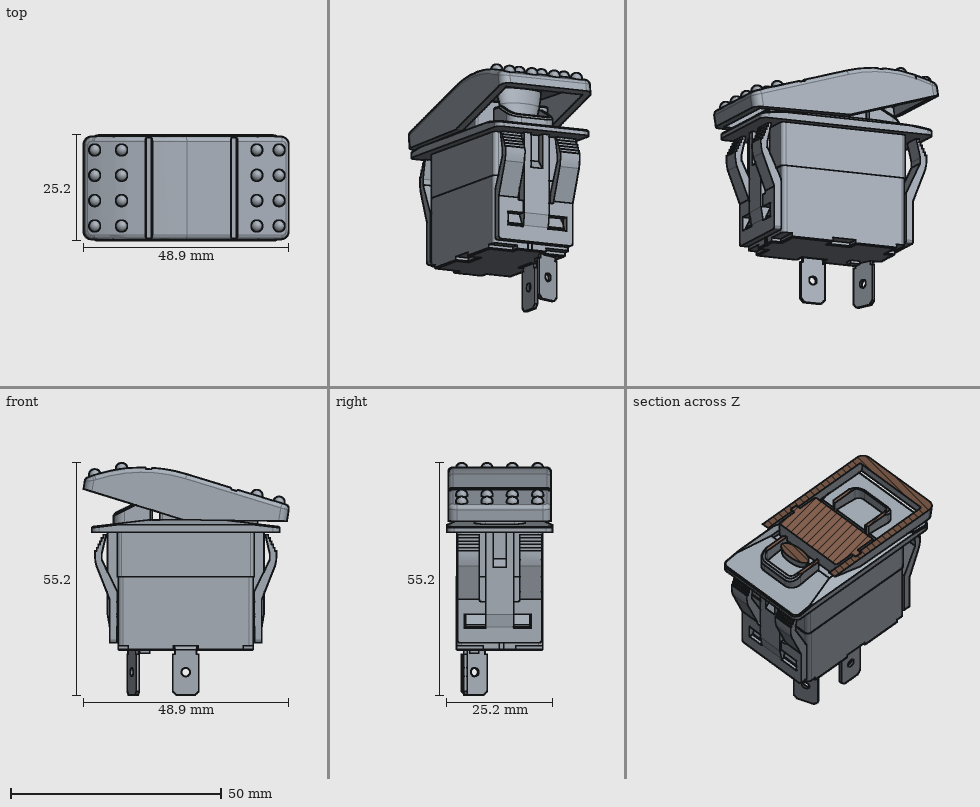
import cadquery as cq
import math


BEZEL_LENGTH = 44.7
BEZEL_WIDTH = 25.15
BEZEL_CORNER_RADIUS = 1.65
BEZEL_END_HEIGHT = 1.3
BEZEL_SIDE_HEIGHT = 1.75
BEZEL_TOP = 3.0
BEZEL_OPENING_LENGTH = 17.1
BEZEL_OPENING_WIDTH = 19.65
BEZEL_RIM_CHAMFER = 0.3
BEZEL_OPENING_FLOOR = 1.75

UPPER_WIDTH = 20.4
LOWER_WIDTH = 20.55
UPPER_LENGTH = 32.55
UPPER_CORNER_RADIUS = 1.0
LOWER_LENGTH = 32.1
LOWER_CORNER_RADIUS = 1.1
SEAM_Z = -10.6
BODY_BOTTOM = -28.05
BOTTOM_CHAMFER = 0.3

RIB_WIDTH = 6.7
RIB_EMBEDMENT = 0.35
RIB_FACE_X = 18.6
RIB_TAPER_TOP = -19.4
RIB_BOTTOM = -22.4
RIB_SLOT_WIDTH = 3.1
RIB_SLOT_DEPTH = 2.0
RIB_SLOT_FLOOR_TOP = -6.3
RIB_SLOT_BOTTOM = -8.35
PLATE_INNER_X = 16.3
PLATE_OUTER_X = 18.1
PLATE_WIDTH = 20.0
PLATE_TOP = -16.45
PLATE_BOTTOM = -26.25
PLATE_CORNER_RADIUS = 0.7
ARM_WIDTH = 5.2
ARM_ROOT_FILLET = 0.4
ARM_TIP_X = 19.65
ARM_TIP_INNER_X = 18.9
ARM_TOP = -0.55
ARM_BEND_BOTTOM = -7.95
ARM_ROOT_OUTER = -15.9
ARM_ROOT_INNER = -14.1
ARM_KNEE_INNER_X = 19.9
ARM_KNEE_INNER_TOP = -5.1
ARM_KNEE_INNER_BOTTOM = -6.5
SERRATION_COUNT = 5
SERRATION_HEIGHT = 0.8
SERRATION_STEP = 0.4
ARM_BEND_X = ARM_TIP_X + SERRATION_COUNT * SERRATION_STEP
ARM_BEND_DROP_X = 0.35
LEFT_WINDOW_Y = 7.5
RIGHT_WINDOW_Y = -8.4
WINDOW_TOP = -19.4
WINDOW_BOTTOM = -22.75
LUG_CLEARANCE = 0.4
LUG_LIP_TOP = -22.0
LUG_BOTTOM = -22.4
LUG_DEPTH = 1.3

NOTCH_HEIGHT = 1.05
CORNER_NOTCH_LENGTH = 2.45
CORNER_NOTCH_INNER_Y = 3.85
SIDE_NOTCH_LENGTH = 5.85
SIDE_NOTCH_DEPTH = 3.3
KEY_GROOVE_WIDTH = 1.05
KEY_GROOVE_DEPTH = 0.15
KEY_GROOVE_Y = 0.45

BLADE_WIDTH = 6.3
BLADE_THICKNESS = 0.8
BLADE_SHOULDER_Z = -28.9
BLADE_BOTTOM = -38.7
BLADE_BEND_Z = -27.85
BLADE_NECK_WIDTH = 5.2
BLADE_CHAMFER = 0.95
BLADE_HOLE_DIAMETER = 2.0
BLADE_HOLE_Z = -33.2
SIDE_BLADE_Y = -8.1
END_BLADE_X = -12.5
END_BLADE_Y = -6.0
END_BLADE_TURN = 20.5
FOOT_LENGTH = 2.45
FOOT_WIDTH = 2.2
FOOT_HEIGHT = 0.7
FOOT_X = -9.7

TOWER_LENGTH = 12.35
TOWER_WIDTH = 19.55
TOWER_TOP = 9.65
TOWER_EDGE = 0.55
PIVOT_Z = 6.55
PIN_DIAMETER = 2.8
PIN_ENGAGEMENT = 0.85
GUARD_OUTER_X = 17.15
GUARD_INNER_X = 7.95
GUARD_WIDTH = 12.15
GUARD_WALL = 1.0
GUARD_CORNER_RADIUS = 2.6
GUARD_LOW_TOP = 4.35
GUARD_HIGH_TOP = 7.55
GUARD_SLOPE = 0.5
GUARD_EDGE_CHAMFER = 0.45

ROCKER_TILT = 9.0
ROCKER_SHIFT_X = -0.1
ROCKER_LENGTH = 49.0
ROCKER_WIDTH = 24.5
ROCKER_CORNER_RADIUS = 2.05
ROCKER_TOP_FILLET = 1.1
ROCKER_END_BOTTOM = -0.14
ROCKER_APEX_Z = -3.65
CROWN_X = -0.85
CROWN_Z = 7.25
ROCKER_RIGHT_TOP = 3.65
CROWN_RADIUS = 36.05
ROCKER_WALL = 2.0
ROCKER_ROOF = 1.65
GROOVE_WIDTH = 2.3
GROOVE_FLOOR_WIDTH = 1.2
GROOVE_DEPTH = 0.36
LEFT_GROOVE_X = -9.95
RIGHT_GROOVE_X = 10.95
DOME_DIAMETER = 2.8
DOME_PITCH_Y = 6.0
DOMES_PER_ROW = 4
DOME_ROWS_X = (-22.35, -16.3, 16.45, 21.9)
POST_X = -9.95
POST_TOP = 4.15
POST_BOTTOM = -4.4
POST_WAIST_Z = 0.0
POST_TOP_RADII = (2.45, 6.05)
POST_WAIST_RADII = (2.15, 5.25)
POST_BOTTOM_RADII = (1.65, 3.75)


def box(x_min, x_max, y_min, y_max, z_min, z_max):
    """Axis-aligned block between two opposite corners."""
    size = (x_max - x_min, y_max - y_min, z_max - z_min)
    return cq.Workplane("XY").box(*size, centered=False).translate((x_min, y_min, z_min))


def side_profile(points, y_min, y_max):
    """Closed XZ polygon extruded from y_min to y_max."""
    plate = cq.Workplane("XZ").polyline(points).close().extrude(y_min - y_max)
    return plate.translate((0, y_min, 0))


def both_ends(shape):
    """The shape at +X together with its mirror image at -X."""
    return shape.union(shape.mirror("YZ"))


def make_bezel():
    """Flange whose top slopes down to all four edges from a central opening."""
    half_length = BEZEL_LENGTH / 2
    half_width = BEZEL_WIDTH / 2
    flange = (
        cq.Workplane("XY")
        .rect(BEZEL_LENGTH, BEZEL_WIDTH)
        .extrude(BEZEL_TOP)
        .edges("|Z")
        .fillet(BEZEL_CORNER_RADIUS)
    )
    lengthwise = side_profile(
        [
            (-half_length, 0),
            (half_length, 0),
            (half_length, BEZEL_END_HEIGHT),
            (BEZEL_OPENING_LENGTH / 2, BEZEL_TOP),
            (-BEZEL_OPENING_LENGTH / 2, BEZEL_TOP),
            (-half_length, BEZEL_END_HEIGHT),
        ],
        -half_width,
        half_width,
    )
    crosswise = (
        cq.Workplane("YZ")
        .polyline(
            [
                (-half_width, 0),
                (half_width, 0),
                (half_width, BEZEL_SIDE_HEIGHT),
                (BEZEL_OPENING_WIDTH / 2, BEZEL_TOP),
                (-BEZEL_OPENING_WIDTH / 2, BEZEL_TOP),
                (-half_width, BEZEL_SIDE_HEIGHT),
            ]
        )
        .close()
        .extrude(half_length, both=True)
    )
    bezel = flange.intersect(lengthwise).intersect(crosswise)
    bezel = bezel.faces("<X or >X").edges(">Z").chamfer(BEZEL_RIM_CHAMFER)
    opening = (
        cq.Workplane("XY", origin=(0, 0, BEZEL_OPENING_FLOOR))
        .rect(BEZEL_OPENING_LENGTH, BEZEL_OPENING_WIDTH)
        .extrude(BEZEL_TOP - BEZEL_OPENING_FLOOR)
    )
    return bezel.cut(opening)


def make_body():
    """Upper and lower body blocks, the lower one slightly shorter, notched and chamfered underneath."""
    upper = (
        cq.Workplane("XY")
        .rect(UPPER_LENGTH, UPPER_WIDTH)
        .extrude(SEAM_Z)
        .edges("|Z")
        .fillet(UPPER_CORNER_RADIUS)
    )
    lower = (
        cq.Workplane("XY", origin=(0, 0, SEAM_Z))
        .rect(LOWER_LENGTH, LOWER_WIDTH)
        .extrude(BODY_BOTTOM - SEAM_Z)
        .edges("|Z")
        .fillet(LOWER_CORNER_RADIUS)
        .cut(make_bottom_notches())
        .faces("<Z")
        .chamfer(BOTTOM_CHAMFER)
    )
    return upper.union(lower)


def make_bottom_notches():
    """Cutters for the four corner notches, the two terminal notches and the end key grooves."""
    end_x = LOWER_LENGTH / 2
    side_y = LOWER_WIDTH / 2
    notch_top = BODY_BOTTOM + NOTCH_HEIGHT
    half_notch = SIDE_NOTCH_LENGTH / 2
    corner = box(end_x - CORNER_NOTCH_LENGTH, end_x, CORNER_NOTCH_INNER_Y, side_y, BODY_BOTTOM, notch_top)
    side = box(-half_notch, half_notch, side_y - SIDE_NOTCH_DEPTH, side_y, BODY_BOTTOM, notch_top)
    groove = box(
        end_x - KEY_GROOVE_DEPTH,
        end_x,
        KEY_GROOVE_Y - KEY_GROOVE_WIDTH / 2,
        KEY_GROOVE_Y + KEY_GROOVE_WIDTH / 2,
        BODY_BOTTOM,
        RIB_BOTTOM,
    )
    quarter = both_ends(corner).union(side)
    return quarter.union(quarter.mirror("XZ")).union(both_ends(groove))


def make_end_rib():
    """Central rib on the +X end, tapered at its foot, with a ramp-bottomed slot under the bezel."""
    root_x = LOWER_LENGTH / 2 - RIB_EMBEDMENT
    rib = side_profile(
        [
            (root_x, 0),
            (RIB_FACE_X, 0),
            (RIB_FACE_X, RIB_TAPER_TOP),
            (PLATE_OUTER_X, RIB_BOTTOM),
            (root_x, RIB_BOTTOM),
        ],
        -RIB_WIDTH / 2,
        RIB_WIDTH / 2,
    )
    slot_floor_x = RIB_FACE_X - RIB_SLOT_DEPTH
    slot = side_profile(
        [
            (RIB_FACE_X, 0),
            (RIB_FACE_X, RIB_SLOT_BOTTOM),
            (slot_floor_x, RIB_SLOT_FLOOR_TOP),
            (slot_floor_x, 0),
        ],
        -RIB_SLOT_WIDTH / 2,
        RIB_SLOT_WIDTH / 2,
    )
    return rib.cut(slot)


def make_spring_arm():
    """Bent arm at +X, +Y with a serrated tip, rising from the end plate."""
    y_max = PLATE_WIDTH / 2
    serrations = []
    for step in range(SERRATION_COUNT):
        x = ARM_TIP_X + step * SERRATION_STEP
        z = ARM_TOP - (step + 1) * SERRATION_HEIGHT
        serrations += [(x, z), (x + SERRATION_STEP, z)]
    bend_top = ARM_TOP - SERRATION_COUNT * SERRATION_HEIGHT
    bend_middle_z = (bend_top + ARM_BEND_BOTTOM) / 2
    outline = cq.Workplane("XZ").moveTo(ARM_TIP_INNER_X, ARM_TOP).lineTo(ARM_TIP_X, ARM_TOP)
    for point in serrations:
        outline = outline.lineTo(*point)
    return (
        outline.threePointArc((ARM_BEND_X, bend_middle_z), (ARM_BEND_X - ARM_BEND_DROP_X, ARM_BEND_BOTTOM))
        .lineTo(PLATE_OUTER_X, ARM_ROOT_OUTER)
        .lineTo(PLATE_OUTER_X, PLATE_TOP)
        .lineTo(PLATE_INNER_X, PLATE_TOP)
        .lineTo(PLATE_INNER_X, ARM_ROOT_INNER)
        .lineTo(ARM_KNEE_INNER_X, ARM_KNEE_INNER_BOTTOM)
        .lineTo(ARM_KNEE_INNER_X, ARM_KNEE_INNER_TOP)
        .close()
        .extrude(ARM_WIDTH)
        .translate((0, y_max, 0))
    )


def make_window(outer_y):
    """Window cutter for the +X plate, from the rib's side out to outer_y."""
    inner_y = math.copysign(RIB_WIDTH / 2, outer_y)
    y_min, y_max = sorted((inner_y, outer_y))
    return box(PLATE_INNER_X, PLATE_OUTER_X, y_min, y_max, WINDOW_BOTTOM, WINDOW_TOP)


def make_lug(outer_y):
    """Wedge on the +X end of the body that stands in the window reaching out to outer_y."""
    root_x = LOWER_LENGTH / 2
    inner_y = math.copysign(RIB_WIDTH / 2, outer_y)
    lug_y = outer_y - math.copysign(LUG_CLEARANCE, outer_y)
    points = [(root_x, WINDOW_TOP), (root_x + LUG_DEPTH, LUG_LIP_TOP), (root_x + LUG_DEPTH, LUG_BOTTOM)]
    points.append((root_x, LUG_BOTTOM))
    return side_profile(points, *sorted((inner_y, lug_y)))


def make_end_clip():
    """Plate on the +X end with two windows, two snap lugs standing in them and two spring arms."""
    half_width = PLATE_WIDTH / 2
    clip = (
        box(PLATE_INNER_X, PLATE_OUTER_X, -half_width, half_width, PLATE_BOTTOM, PLATE_TOP)
        .edges("|X and <Z")
        .fillet(PLATE_CORNER_RADIUS)
    )
    for outer_y in (LEFT_WINDOW_Y, RIGHT_WINDOW_Y):
        clip = clip.cut(make_window(outer_y)).union(make_lug(outer_y))
    arm = make_spring_arm()
    clip = clip.union(arm).union(arm.mirror("XZ"))
    arm_inner_y = half_width - ARM_WIDTH
    for y in (arm_inner_y, -arm_inner_y):
        root_edge = cq.selectors.NearestToPointSelector((PLATE_OUTER_X, y, PLATE_TOP))
        clip = clip.edges("|X").edges(root_edge).fillet(ARM_ROOT_FILLET)
    return clip


def make_blade():
    """Flat terminal in the XZ plane, with a narrower neck bent inward, a hole and chamfered tip corners."""
    neck_top = BODY_BOTTOM + NOTCH_HEIGHT
    half_thickness = BLADE_THICKNESS / 2
    half_width = BLADE_WIDTH / 2
    half_neck = BLADE_NECK_WIDTH / 2
    blade = (
        box(-half_width, half_width, -half_thickness, half_thickness, BLADE_BOTTOM, BLADE_SHOULDER_Z)
        .edges("|Y and <Z")
        .chamfer(BLADE_CHAMFER)
    )
    neck = (
        cq.Workplane("YZ")
        .polyline(
            [
                (-half_thickness, BLADE_SHOULDER_Z),
                (-half_thickness, BLADE_BEND_Z),
                (half_thickness, neck_top),
                (half_thickness + BLADE_THICKNESS, neck_top),
                (half_thickness, BLADE_BEND_Z),
                (half_thickness, BLADE_SHOULDER_Z),
            ]
        )
        .close()
        .extrude(half_neck, both=True)
    )
    hole = (
        cq.Workplane("XZ")
        .center(0, BLADE_HOLE_Z)
        .circle(BLADE_HOLE_DIAMETER / 2)
        .extrude(BLADE_THICKNESS, both=True)
    )
    return blade.union(neck).cut(hole)


def make_terminals():
    """One blade square to the housing, one turned blade near the -X end, and a small foot beside it."""
    side_blade = make_blade().translate((0, SIDE_BLADE_Y, 0))
    end_blade = (
        make_blade()
        .rotate((0, 0, 0), (0, 0, 1), END_BLADE_TURN - 90)
        .translate((END_BLADE_X, END_BLADE_Y, 0))
    )
    foot = box(
        FOOT_X - FOOT_LENGTH / 2,
        FOOT_X + FOOT_LENGTH / 2,
        END_BLADE_Y - FOOT_WIDTH / 2,
        END_BLADE_Y + FOOT_WIDTH / 2,
        BODY_BOTTOM - FOOT_HEIGHT,
        BODY_BOTTOM,
    )
    return side_blade.union(end_blade).union(foot)


def make_tower():
    """Central block that carries a pivot pin on each side."""
    tower = (
        box(-TOWER_LENGTH / 2, TOWER_LENGTH / 2, -TOWER_WIDTH / 2, TOWER_WIDTH / 2, 0, TOWER_TOP)
        .edges("|Z")
        .fillet(TOWER_EDGE)
        .faces(">Z")
        .chamfer(TOWER_EDGE / 2)
    )
    return tower.union(make_pivot_pin())


def make_pivot_pin():
    """Pivot cylinder along Y, reaching into both side walls of the rocker."""
    half_span = ROCKER_WIDTH / 2 - ROCKER_WALL + PIN_ENGAGEMENT
    pin = cq.Workplane("XZ").circle(PIN_DIAMETER / 2).extrude(half_span, both=True)
    return pin.translate((0, 0, PIVOT_Z))


def make_guard():
    """U-shaped wall at the +X end, open toward the tower, with its top sloping down outward."""
    half_width = GUARD_WIDTH / 2
    slope_run = (GUARD_HIGH_TOP - GUARD_LOW_TOP) / GUARD_SLOPE
    outer = side_profile(
        [
            (GUARD_INNER_X, 0),
            (GUARD_OUTER_X, 0),
            (GUARD_OUTER_X, GUARD_LOW_TOP),
            (GUARD_OUTER_X - slope_run, GUARD_HIGH_TOP),
            (GUARD_INNER_X, GUARD_HIGH_TOP),
        ],
        -half_width,
        half_width,
    )
    outer = outer.edges("|Z and >X").fillet(GUARD_CORNER_RADIUS)
    slope_direction = cq.Vector(GUARD_SLOPE, 0, 1)
    slope = outer.faces(cq.selectors.DirectionMinMaxSelector(slope_direction, True))
    rim = outer.faces("+Z").edges("|X")
    rim = rim.add(slope.edges("not |Y"))
    rim = rim.add(outer.faces(">X").edges(">Z"))
    outer = rim.add(outer.edges("|Z and <X")).chamfer(GUARD_EDGE_CHAMFER)
    inner_y = half_width - GUARD_WALL
    inner = (
        box(GUARD_INNER_X, GUARD_OUTER_X - GUARD_WALL, -inner_y, inner_y, BEZEL_SIDE_HEIGHT, GUARD_HIGH_TOP)
        .edges("|Z and >X")
        .fillet(GUARD_CORNER_RADIUS - GUARD_WALL)
    )
    return outer.cut(inner)


def make_housing():
    ends = make_end_rib().union(make_end_clip())
    body = make_body()
    top = make_bezel().union(make_tower()).union(both_ends(make_guard()))
    return body.union(both_ends(ends)).union(top).union(make_terminals())


CROWN_SLOPE = math.atan2(CROWN_Z - ROCKER_RIGHT_TOP, ROCKER_LENGTH / 2 - CROWN_X)
ARC_CENTER_X = CROWN_X - CROWN_RADIUS * math.sin(CROWN_SLOPE)
ARC_CENTER_Z = CROWN_Z - CROWN_RADIUS * math.cos(CROWN_SLOPE)


def top_height(x):
    """Height of the rocker's top: an arc on the left, its tangent line on the right."""
    if x > CROWN_X:
        return CROWN_Z - (x - CROWN_X) * math.tan(CROWN_SLOPE)
    return ARC_CENTER_Z + math.sqrt(CROWN_RADIUS**2 - (x - ARC_CENTER_X) ** 2)


def top_angle(x):
    """Downward slope of the rocker's top toward +X, in degrees."""
    if x > CROWN_X:
        return math.degrees(CROWN_SLOPE)
    return math.degrees(math.asin((x - ARC_CENTER_X) / CROWN_RADIUS))


def make_rocker_shell():
    """Crowned block with a V-shaped underside, hollowed from below."""
    half_length = ROCKER_LENGTH / 2
    arc_middle_x = (CROWN_X - half_length) / 2
    block = (
        cq.Workplane("XZ")
        .moveTo(-half_length, ROCKER_END_BOTTOM)
        .lineTo(0, ROCKER_APEX_Z)
        .lineTo(half_length, ROCKER_END_BOTTOM)
        .lineTo(half_length, ROCKER_RIGHT_TOP)
        .lineTo(CROWN_X, CROWN_Z)
        .threePointArc((arc_middle_x, top_height(arc_middle_x)), (-half_length, top_height(-half_length)))
        .close()
        .extrude(ROCKER_WIDTH / 2, both=True)
        .edges("|Z")
        .fillet(ROCKER_CORNER_RADIUS)
    )
    edge_x = half_length / 2
    top_rim = cq.selectors.NearestToPointSelector((edge_x, -ROCKER_WIDTH / 2, top_height(edge_x)))
    block = block.edges(top_rim).fillet(ROCKER_TOP_FILLET)
    inner_x = half_length - ROCKER_WALL
    inner_y = ROCKER_WIDTH / 2 - ROCKER_WALL
    cavity = side_profile(
        [
            (-inner_x, ROCKER_APEX_Z),
            (inner_x, ROCKER_APEX_Z),
            (inner_x, top_height(inner_x) - ROCKER_ROOF),
            (CROWN_X, CROWN_Z - ROCKER_ROOF),
            (-inner_x, top_height(-inner_x) - ROCKER_ROOF),
        ],
        -inner_y,
        inner_y,
    )
    return block.cut(cavity)


def make_groove(x):
    """Trapezoidal groove cutter across the top at x, square to the surface there."""
    half_width = GROOVE_WIDTH / 2
    half_floor = GROOVE_FLOOR_WIDTH / 2
    cutter = side_profile(
        [
            (-half_floor, -GROOVE_DEPTH),
            (half_floor, -GROOVE_DEPTH),
            (half_width, GROOVE_DEPTH),
            (-half_width, GROOVE_DEPTH),
        ],
        -ROCKER_WIDTH / 2,
        ROCKER_WIDTH / 2,
    )
    return cutter.rotate((0, 0, 0), (0, 1, 0), top_angle(x)).translate((x, 0, top_height(x)))


def make_domes():
    """Rows of grip domes: spheres centred on the top surface."""
    first_y = -DOME_PITCH_Y * (DOMES_PER_ROW - 1) / 2
    points = [
        (x, first_y + index * DOME_PITCH_Y, top_height(x))
        for x in DOME_ROWS_X
        for index in range(DOMES_PER_ROW)
    ]
    return cq.Workplane("XY").pushPoints(points).sphere(DOME_DIAMETER / 2)


def make_post():
    """Tapered oval post hanging from the rocker's roof inside the left guard."""
    return (
        cq.Workplane("XY", origin=(POST_X, 0, POST_BOTTOM))
        .ellipse(*POST_BOTTOM_RADII)
        .workplane(offset=POST_WAIST_Z - POST_BOTTOM)
        .ellipse(*POST_WAIST_RADII)
        .workplane(offset=POST_TOP - POST_WAIST_Z)
        .ellipse(*POST_TOP_RADII)
        .loft(ruled=True)
    )


def make_rocker():
    rocker = make_rocker_shell().union(make_domes()).union(make_post())
    for x in (LEFT_GROOVE_X, RIGHT_GROOVE_X):
        rocker = rocker.cut(make_groove(x))
    rocker = rocker.translate((ROCKER_SHIFT_X, 0, 0)).rotate((0, 0, 0), (0, 1, 0), ROCKER_TILT)
    return rocker.translate((0, 0, PIVOT_Z)).cut(make_pivot_pin())


housing = make_housing()
rocker = make_rocker()
result = cq.Compound.makeCompound([housing.val(), rocker.val()])